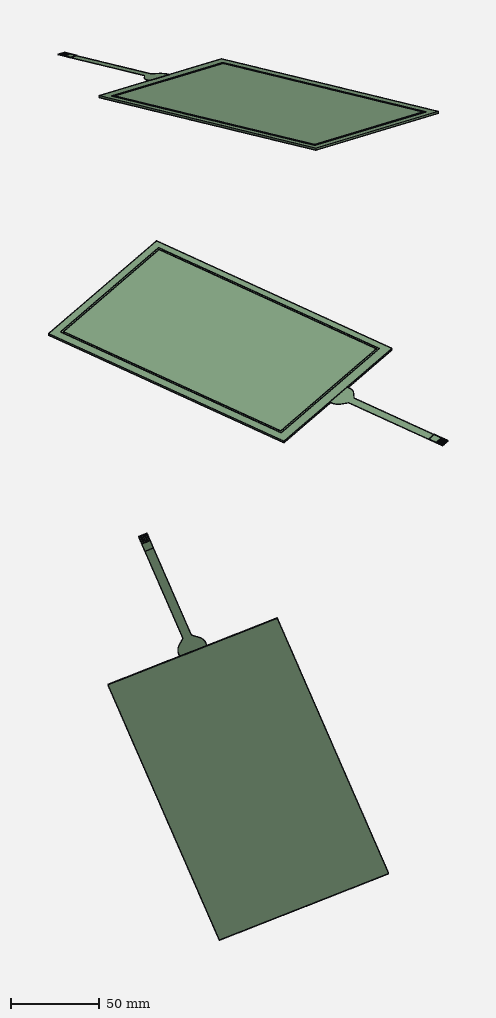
import cadquery as cq

total_length = 240.0
total_height = 1.5
panel_length = 165.0
panel_width = 104.0
panel_thickness = 1.3
groove_depth = 0.2
tail_thickness = 0.2
tail_drop = 0.1
tail_center_y = -0.5
tail_width = 5.3
tail_root_width = 16.8
tail_root_straight = 4.3
tail_root_length = 9.0
tail_root_radius = 6.0
stiffener_length = 9.5
contact_count = 4
contact_pitch = 1.2
contact_width = 0.7
contact_length = 4.8
contact_thickness = 0.05

margin_left = 5.8
margin_right = 4.5
margin_back = 5.3
margin_front = 4.3
groove_width = 1.2

tail_end_x = -total_length / 2
panel_right_x = total_length / 2
panel_left_x = panel_right_x - panel_length
tail_top = panel_thickness - tail_drop
tail_bottom = tail_top - tail_thickness


def box_between(x_range, y_range, z_range):
    """Rectangular block spanning the given coordinate ranges."""
    size = [high - low for low, high in (x_range, y_range, z_range)]
    corner = (x_range[0], y_range[0], z_range[0])
    return cq.Workplane("XY").box(*size, centered=False).translate(corner)


def make_panel():
    """Flat panel with a shallow groove framing the active area."""
    panel = box_between(
        (panel_left_x, panel_right_x), (-panel_width / 2, panel_width / 2), (0, panel_thickness)
    )
    groove_z = (panel_thickness - groove_depth, panel_thickness)

    def area(inset):
        return box_between(
            (panel_left_x + margin_left + inset, panel_right_x - margin_right - inset),
            (-panel_width / 2 + margin_front + inset, panel_width / 2 - margin_back - inset),
            groove_z,
        )

    return panel.cut(area(0).cut(area(groove_width)))


def make_tail():
    """Thin flexible strip that widens, with rounded shoulders, where it meets the panel."""
    strip_x = panel_left_x - tail_root_length
    shoulder_x = panel_left_x - tail_root_straight
    strip_y = tail_width / 2
    root_y = tail_root_width / 2
    root = (
        cq.Workplane("XY", origin=(0, 0, tail_bottom))
        .polyline([
            (panel_left_x, -root_y),
            (shoulder_x, -root_y),
            (strip_x, -strip_y),
            (strip_x, strip_y),
            (shoulder_x, root_y),
            (panel_left_x, root_y),
        ])
        .close()
        .extrude(tail_thickness)
    )
    pick_margin = 0.2
    shoulders = cq.selectors.BoxSelector(
        (shoulder_x - pick_margin, -root_y - pick_margin, 0),
        (shoulder_x + pick_margin, root_y + pick_margin, total_height),
    )
    root = root.edges("|Z").edges(shoulders).fillet(tail_root_radius)
    strip = box_between((tail_end_x, strip_x), (-strip_y, strip_y), (tail_bottom, tail_top))
    return root.union(strip)


def make_stiffener():
    """Backing plate on top of the free end of the tail."""
    return box_between(
        (tail_end_x, tail_end_x + stiffener_length),
        (-tail_width / 2, tail_width / 2),
        (tail_top, total_height),
    )


def make_contacts():
    """Row of contact pads under the free end of the tail, centred across its width."""
    pads = cq.Workplane("XY")
    for index in range(contact_count):
        center_y = (index - (contact_count - 1) / 2) * contact_pitch
        pad = box_between(
            (tail_end_x, tail_end_x + contact_length),
            (center_y - contact_width / 2, center_y + contact_width / 2),
            (tail_bottom - contact_thickness, tail_bottom),
        )
        pads = pads.add(pad)
    return pads.combine()


tail = make_tail().union(make_stiffener()).union(make_contacts()).translate((0, tail_center_y, 0))
result = make_panel().union(tail)